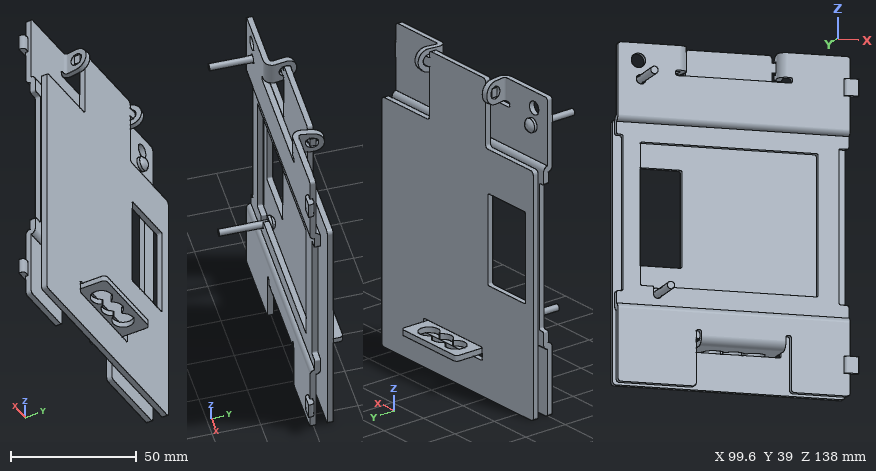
import cadquery as cq
import math


height = 138.0
width = 96.6
thick = 2.5
corner_r = 1.4
small_r = 0.8
round_margin = 0.1
end_z = 32.2
jog = 2.0
jog_overlap = 2.9
bend_r = 3.6
bend_inner_r = bend_r - thick
mid_back_y = jog + thick
door_gap = 2.8
door_y = mid_back_y + door_gap
door_mid_y = door_y + thick / 2
cutter_y = (-thick, door_y + 2 * thick)

window_x = (10.0, 83.8)
window_z = (39.9, 98.1)
notch_z = (37.3, 100.7)
left_notch = 2.8
right_notch = 4.1

hinge_mid_x = 48.3
ear_bend_x = 22.5
ear_height = 10.1
ear_r = ear_height / 2
ear_lean = 9.0
ear_reach = 4.3
ear_hole_r = 2.6
hinge_z = height - ear_r
relief_half = 24.3
relief_height = 2.2
hinge_cut_z = height - ear_height - relief_height

hasp_x = (34.8, 69.8)
hasp_mid_x = sum(hasp_x) / 2
hasp_relief = 2.2
hasp_relief_top = 23.0
hasp_bend_z = 20.7
hasp_top_z = hasp_bend_z - bend_inner_r
hasp_tip_y = 21.1
hasp_corner_r = 1.7
hasp_hole_y = 14.1
hasp_hole_r = 4.4
hasp_hole_pitch = 8.5
hasp_slot = 4.0

tab_step = 1.4
tab_x = 93.8
tab_end_x = 99.6
tab_height = 6.9
tab_bottoms = (9.1, height - 16.1)

door_neck_half = 18.0
shoulder_z = 108.0
shoulder_r = 1.8
tongue_half_reach = 22.0
tongue_height = 4.0
door_window_x = (5.1, 28.8)
door_window_z = (49.1, 88.9)
hasp_window_x = (32.5, 70.0)
hasp_window_z = (15.3, 21.1)

shaft_r = 1.5
shaft_length = 20.4
head_r = 3.0
head_rim = 1.2
head_height = door_gap
head_top_r = 1.1
upper_screw = (9.7, 123.2)
upper_clear_r = 2.0
lower_screw = (17.1, 36.7)
lower_slot_r = 1.7
slot_mouth_r = 0.5
finger_hole = (8.5, 130.8)
finger_hole_r = 2.9


def block(x, y, z):
    """Box spanning the given (low, high) pairs."""
    size = (x[1] - x[0], y[1] - y[0], z[1] - z[0])
    return cq.Workplane("XY").box(*size, centered=False).translate((x[0], y[0], z[0]))


def upright_sheet(x, z, y=0.0):
    """Vertical sheet of the common thickness with its front face at y."""
    return block(x, (y, y + thick), z)


def through_window(x, z, radius):
    """Cutter along Y with rounded corners, long enough to pass through a plate."""
    return block(x, cutter_y, z).edges("|Y").fillet(radius)


def through_hole(center, radius):
    """Round cutter along Y."""
    plane = cq.Workplane("XZ", origin=(center[0], cutter_y[0], center[1]))
    return plane.circle(radius).extrude(cutter_y[0] - cutter_y[1])


def screw(center, seat_y):
    """Pan-head screw pointing forwards, with its head seated at seat_y."""
    outline = (
        cq.Workplane("XY")
        .moveTo(0, -shaft_length)
        .lineTo(shaft_r, -shaft_length)
        .lineTo(shaft_r, 0)
        .lineTo(head_r, 0)
        .lineTo(head_r, head_rim)
        .radiusArc((head_top_r, head_height), -head_r)
        .lineTo(0, head_height)
        .close()
    )
    return outline.revolve(360, (0, 0), (0, 1)).translate((center[0], seat_y, center[1]))


def bracket_panels():
    """Two end panels and the middle panel behind them; the joggles are rounded on their outer side."""
    joggle_r = thick - round_margin
    lower = upright_sheet((0, width), (0, end_z))
    upper = upright_sheet((0, width), (height - end_z, height))
    lower = lower.cut(hasp_cutout())
    lower = lower.edges("|Y and <Z").fillet(corner_r).edges("|X and >Z and <Y").fillet(joggle_r)
    upper = upper.edges("|Y and >Z").fillet(corner_r).edges("|X and <Z and <Y").fillet(joggle_r)
    mid_low = end_z - jog_overlap
    middle = upright_sheet((0, width), (mid_low, height - mid_low), jog)
    middle = middle.edges("|X and >Y").fillet(joggle_r)
    middle = middle.cut(through_window(window_x, window_z, small_r))
    middle = middle.cut(through_window((-left_notch, left_notch), notch_z, small_r))
    middle = middle.cut(through_window((width - right_notch, width + right_notch), notch_z, small_r))
    for x in (0, width):
        for z in notch_z:
            middle = middle.edges(cq.NearestToPointSelector((x, jog + thick / 2, z))).fillet(small_r)
    return middle.cut(lower_screw_slot()).union(lower).union(upper)


def lower_screw_slot():
    """Round-ended slot opening into the window, with a rounded mouth."""
    x, z = lower_screw
    mouth_z = window_z[0]
    mouth_half = lower_slot_r + slot_mouth_r
    outline = (
        cq.Workplane("XZ", origin=(x, 0, 0))
        .moveTo(-mouth_half, mouth_z)
        .radiusArc((-lower_slot_r, mouth_z - slot_mouth_r), slot_mouth_r)
        .lineTo(-lower_slot_r, z)
        .threePointArc((0, z - lower_slot_r), (lower_slot_r, z))
        .lineTo(lower_slot_r, mouth_z - slot_mouth_r)
        .radiusArc((mouth_half, mouth_z), slot_mouth_r)
        .close()
    )
    return outline.extrude(-cutter_y[1])


def hinge_cutout():
    """Opening between the ears with a relief slot below them."""
    low = hinge_cut_z
    relief = through_window(
        (hinge_mid_x - relief_half, hinge_mid_x + relief_half),
        (low, low + relief_height),
        relief_height / 2 - round_margin,
    )
    opening_x = (hinge_mid_x - ear_bend_x, hinge_mid_x + ear_bend_x)
    opening = block(opening_x, (-thick, 2 * thick), (low, height + thick))
    return relief.union(opening)


def left_ear():
    """Ear bent back from the left of the hinge cutout, with a round end and a hole."""
    lean = math.radians(ear_lean)
    center = (hinge_mid_x - ear_bend_x, bend_r)

    def on_bend(radius, angle):
        return (center[0] + radius * math.cos(angle), center[1] + radius * math.sin(angle))

    start = -math.pi / 2
    half = (start + lean) / 2
    bend = (
        cq.Workplane("XY", origin=(0, 0, height - ear_height))
        .moveTo(*on_bend(bend_r, start))
        .threePointArc(on_bend(bend_r, half), on_bend(bend_r, lean))
        .lineTo(*on_bend(bend_inner_r, lean))
        .threePointArc(on_bend(bend_inner_r, half), on_bend(bend_inner_r, start))
        .close()
        .extrude(ear_height)
    )
    inner_face = cq.Plane(
        origin=(*on_bend(bend_inner_r, lean), hinge_z),
        xDir=(-math.sin(lean), math.cos(lean), 0),
        normal=(math.cos(lean), math.sin(lean), 0),
    )
    leaf = (
        cq.Workplane(inner_face)
        .moveTo(0, -ear_r)
        .lineTo(ear_reach, -ear_r)
        .threePointArc((ear_reach + ear_r, 0), (ear_reach, ear_r))
        .lineTo(0, ear_r)
        .close()
        .moveTo(ear_reach, 0)
        .circle(ear_hole_r)
        .extrude(thick)
    )
    return bend.union(leaf)


def hasp_cutout():
    """Opening below the hasp bend with a round-topped relief slot at each side."""
    left = hasp_x[0] - hasp_relief
    right = hasp_x[1] + hasp_relief
    opening = block((left, right), (-thick, 2 * thick), (-thick, hasp_bend_z))
    slot_r = hasp_relief / 2 - round_margin
    for slot_x in ((left, hasp_x[0]), (hasp_x[1], right)):
        opening = opening.union(through_window(slot_x, (hasp_bend_z - bend_r, hasp_relief_top), slot_r))
    return opening


def hasp():
    """Tongue bent back from the bracket, with three joined padlock holes."""
    def mid_bend(radius):
        drop = radius * math.sqrt(0.5)
        return (bend_r - drop, hasp_bend_z - drop)

    tongue = (
        cq.Workplane("YZ", origin=(hasp_x[0], 0, 0))
        .moveTo(0, hasp_bend_z)
        .threePointArc(mid_bend(bend_r), (bend_r, hasp_bend_z - bend_r))
        .lineTo(hasp_tip_y, hasp_bend_z - bend_r)
        .lineTo(hasp_tip_y, hasp_top_z)
        .lineTo(bend_r, hasp_top_z)
        .threePointArc(mid_bend(bend_inner_r), (thick, hasp_bend_z))
        .close()
        .extrude(hasp_x[1] - hasp_x[0])
    )
    tongue = tongue.edges("|Z and >Y").fillet(hasp_corner_r)
    for step in (-1, 0, 1):
        hole_x = hasp_mid_x + step * hasp_hole_pitch
        hole = cq.Workplane("XY", origin=(hole_x, hasp_hole_y, 0)).circle(hasp_hole_r).extrude(hasp_bend_z)
        tongue = tongue.cut(hole)
    joining_slot = (
        cq.Workplane("XY", origin=(hasp_mid_x, hasp_hole_y, 0))
        .rect(2 * hasp_hole_pitch, hasp_slot)
        .extrude(hasp_bend_z)
    )
    return tongue.cut(joining_slot)


def edge_tab(bottom_z):
    """Half-sheared tab standing forward of the bracket and past its right edge."""
    back_y = thick - tab_step
    tab = block((tab_x, tab_end_x), (-tab_step, back_y), (bottom_z, bottom_z + tab_height))
    tab = tab.edges("|Z and >X and >Y").fillet(tab_step)
    return tab.edges("|Z and <X and <Y").fillet(tab_step)


def make_bracket():
    body = bracket_panels().cut(hinge_cutout())
    body = body.cut(through_hole(finger_hole, finger_hole_r))
    body = body.cut(through_hole(upper_screw, upper_clear_r))
    ear = left_ear()
    body = body.union(ear).union(ear.mirror("YZ", (hinge_mid_x, 0, 0))).union(hasp())
    for bottom_z in tab_bottoms:
        body = body.union(edge_tab(bottom_z))
    return body


def make_door():
    neck_x = (hinge_mid_x - door_neck_half, hinge_mid_x + door_neck_half)
    leaf = upright_sheet((0, width), (0, shoulder_z), door_y)
    leaf = leaf.edges("|Y and >Z").fillet(shoulder_r).edges("|Y and <Z").fillet(corner_r)
    neck = upright_sheet(neck_x, (shoulder_z - shoulder_r, height), door_y)
    neck = neck.edges("|Y and >Z").fillet(corner_r)
    body = leaf.union(neck)
    for x in neck_x:
        body = body.edges(cq.NearestToPointSelector((x, door_mid_y, shoulder_z))).fillet(corner_r)
    tongues = upright_sheet(
        (hinge_mid_x - tongue_half_reach, hinge_mid_x + tongue_half_reach),
        (hinge_z - tongue_height / 2, hinge_z + tongue_height / 2),
        door_y,
    )
    body = body.union(tongues)
    body = body.cut(through_window(door_window_x, door_window_z, small_r))
    body = body.cut(through_window(hasp_window_x, hasp_window_z, small_r))
    return body.union(screw(lower_screw, mid_back_y))


bracket = make_bracket()
door = make_door()
upper_fixing = screw(upper_screw, thick)

result = cq.Compound.makeCompound([bracket.val(), door.val(), upper_fixing.val()])